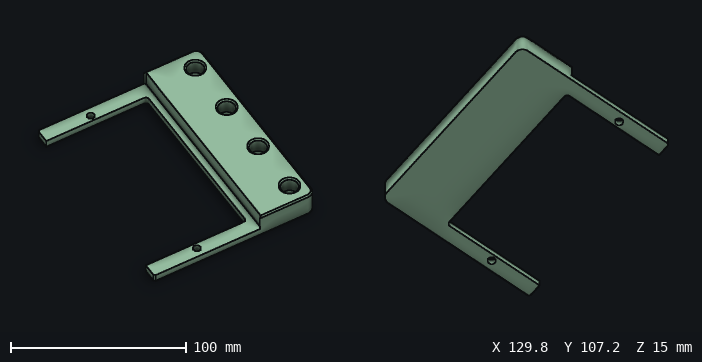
import cadquery as cq

width = 129.8
depth = 107.2
height = 15.0
half_width = width / 2
back_y = depth / 2
front_y = -depth / 2

frame_height = 5.0
arm_width = 9.5
frame_back_depth = 40.4
back_corner_radius = 5.0
inner_corner_radius = 2.0

block_depth = 36.0
bevel = 1.0

pocket_diameter = 10.5
pocket_depth = 10.0
pocket_count = 4
pocket_spacing = 35.0
pocket_back_offset = 10.0

arm_hole_diameter = 4.5
arm_hole_side_offset = 5.7
arm_hole_front_offset = 31.8


def make_frame():
    """U-shaped plate with rounded inner corners and bevelled arm tips."""
    opening_depth = depth - frame_back_depth
    opening = (
        cq.Workplane("XY")
        .center(0, front_y + opening_depth / 2)
        .rect(width - 2 * arm_width, opening_depth)
        .extrude(frame_height)
        .edges("|Z and >Y")
        .fillet(inner_corner_radius)
    )
    plate = (
        cq.Workplane("XY")
        .rect(width, depth)
        .extrude(frame_height)
        .edges("|Z and >Y")
        .fillet(back_corner_radius)
        .edges("|Z and <Y")
        .chamfer(bevel)
    )
    return plate.cut(opening)


def make_block():
    """Block whose front wall flares forward at both ends, bevelled on top at the sides and back."""
    wall_y = back_y - block_depth
    wall_half_width = half_width - bevel
    block = (
        cq.Workplane("XY")
        .moveTo(-half_width, back_y)
        .lineTo(-half_width, wall_y - bevel)
        .lineTo(-wall_half_width, wall_y)
        .lineTo(wall_half_width, wall_y)
        .lineTo(half_width, wall_y - bevel)
        .lineTo(half_width, back_y)
        .close()
        .extrude(height)
        .edges("|Z and >Y")
        .fillet(back_corner_radius)
    )
    top_edges = block.faces(">Z").edges()
    rim = top_edges.filter(lambda edge: edge.Center().y > wall_y + bevel)
    return rim.chamfer(bevel)


def make_pockets():
    """Cutters for the row of flat-bottomed pockets with countersunk mouths."""
    pockets = (
        cq.Workplane("XY", origin=(0, back_y - pocket_back_offset, height - pocket_depth))
        .rarray(pocket_spacing, 1.3, pocket_count, 1)
        .circle(pocket_diameter / 2)
        .extrude(pocket_depth)
    )
    mouths = (
        cq.Workplane("XY", origin=(0, back_y - pocket_back_offset, height))
        .rarray(pocket_spacing, 1.3, pocket_count, 1)
        .circle(pocket_diameter / 2 + bevel)
        .extrude(-bevel, taper=45)
    )
    return pockets.union(mouths)


def make_arm_holes():
    """Cutters for one through hole in each arm."""
    return (
        cq.Workplane("XY", origin=(0, front_y + arm_hole_front_offset, 0))
        .rarray(width - 2 * arm_hole_side_offset, 1.3, 2, 1)
        .circle(arm_hole_diameter / 2)
        .extrude(frame_height)
    )


result = make_frame().union(make_block()).cut(make_pockets()).cut(make_arm_holes())